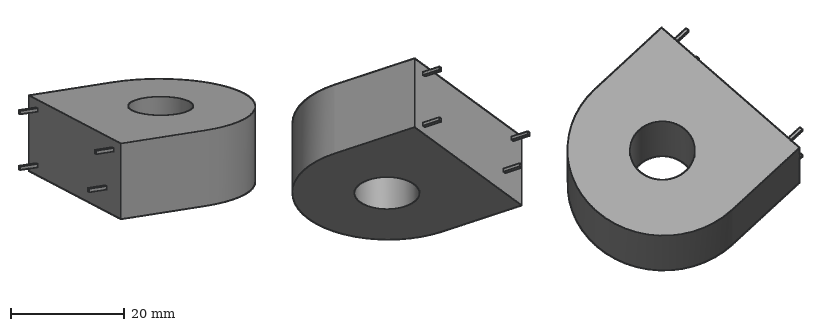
import cadquery as cq

width = 34.0
height = 14.0
overall_length = 37.5
pin_length = 3.5
round_radius = width / 2
body_length = overall_length - pin_length
front_y = round_radius - body_length

hole_diameter = 11.5
hole_offset_y = 0.3

pin_size = 0.65
pin_outer_x = 14.02
pin_inner_x = 11.48
pin_outer_z = 5.15
pin_inner_z = -2.55
pin_positions = [
    (-pin_outer_x, pin_outer_z),
    (pin_outer_x, pin_outer_z),
    (pin_inner_x, pin_inner_z),
    (-pin_outer_x, -pin_outer_z),
]


def make_housing():
    """D-shaped block, centred on Z = 0, with its through hole."""
    block = (
        cq.Workplane("XY")
        .workplane(offset=-height / 2)
        .moveTo(-round_radius, front_y)
        .lineTo(round_radius, front_y)
        .lineTo(round_radius, 0)
        .threePointArc((0, round_radius), (-round_radius, 0))
        .close()
        .extrude(height)
    )
    hole = (
        cq.Workplane("XY")
        .workplane(offset=-height / 2)
        .center(0, hole_offset_y)
        .circle(hole_diameter / 2)
        .extrude(height)
    )
    return block.cut(hole)


def make_pins():
    """Square pins standing out of the front face toward -Y."""
    return (
        cq.Workplane("XZ", origin=(0, front_y, 0))
        .pushPoints(pin_positions)
        .rect(pin_size, pin_size)
        .extrude(pin_length)
    )


result = make_housing().union(make_pins())